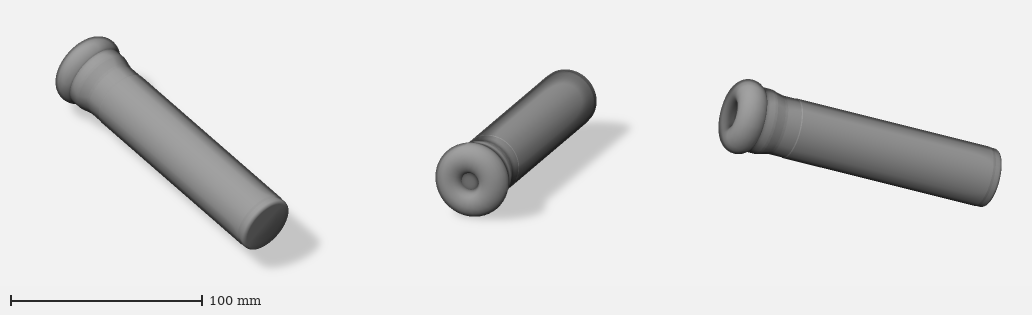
import cadquery as cq
import math

total_length = 150.0
ring_outer_diameter = 39.9
ring_section_radius = 8.0

collar_diameter = 35.0
neck_diameter = 31.5
grip_diameter = 32.0

front_face_x = 5.0
collar_end_x = 19.4
grip_start_x = 34.4
grip_end_x = 144.8

cone_half_angle = 15.0
cone_blend_radius = 6.0
grip_front_taper_length = 0.6
grip_rear_taper_length = 1.4
rear_edge_radius = 1.6

collar_radius = collar_diameter / 2
neck_radius = neck_diameter / 2
grip_radius = grip_diameter / 2
ring_path_radius = ring_outer_diameter / 2 - ring_section_radius
cone_length = (collar_radius - neck_radius) / math.tan(math.radians(cone_half_angle))
cone_end_x = collar_end_x + cone_length


def make_ring():
    """Full torus around the X axis, with its front touching X = 0."""
    return (
        cq.Workplane("XY")
        .center(ring_section_radius, ring_path_radius)
        .circle(ring_section_radius)
        .revolve(360, (0, -ring_path_radius), (1, -ring_path_radius))
    )


def circle_edge_at(x):
    """Selector for the circular edge that lies in the plane at this X."""
    margin = 0.2
    reach = collar_diameter
    return cq.selectors.BoxSelector((x - margin, -reach, -reach), (x + margin, reach, reach))


def make_handle_blank():
    """Turned handle with a collar, cone, neck, grip and rounded rear edge."""
    blank = (
        cq.Workplane("XY")
        .moveTo(front_face_x, 0)
        .lineTo(front_face_x, collar_radius)
        .lineTo(collar_end_x, collar_radius)
        .lineTo(cone_end_x, neck_radius)
        .lineTo(grip_start_x, neck_radius)
        .lineTo(grip_start_x + grip_front_taper_length, grip_radius)
        .lineTo(grip_end_x, grip_radius)
        .lineTo(grip_end_x + grip_rear_taper_length, neck_radius)
        .lineTo(total_length, neck_radius)
        .lineTo(total_length, 0)
        .close()
        .revolve(360, (0, 0), (1, 0))
    )
    for x in (collar_end_x, cone_end_x):
        blank = blank.edges(circle_edge_at(x)).fillet(cone_blend_radius)
    return blank.faces(">X").edges().fillet(rear_edge_radius)


ring = make_ring()

handle = make_handle_blank().cut(ring)

result = cq.Compound.makeCompound([ring.val(), *handle.vals()])